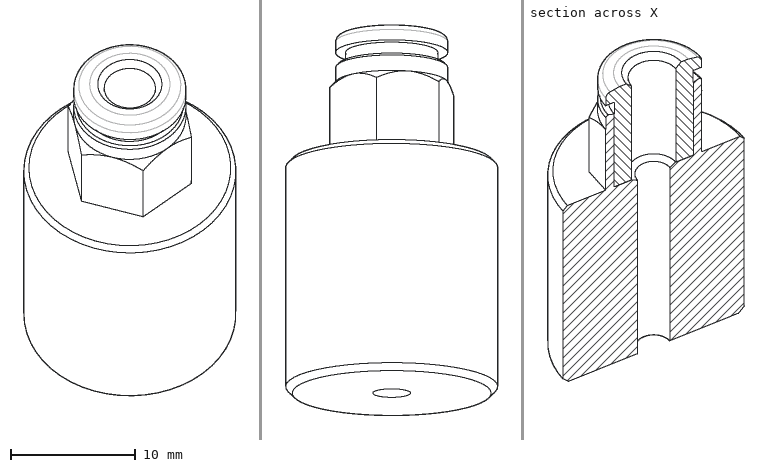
import cadquery as cq
import math

TOTAL_HEIGHT = 29.5
BARREL_HEIGHT = 18.97
HEX_TOP = 25.5
COLLAR_TOP = 26.95

BARREL_DIAMETER = 17.0
BARREL_TOP_CHAMFER = 0.4
BARREL_BOTTOM_CHAMFER = 0.53
HEX_ACROSS_FLATS = 9.0
HEX_CORNER_DROP = 0.7
COLLAR_DIAMETER = 9.0
COLLAR_CHAMFER = 0.2
SEAT_COUNTERSINK_DEPTH = 0.18
BORE_CONE_DEPTH = 0.32
THROUGH_BORE_DIAMETER = 3.0

NECK_DIAMETER = 7.4
FLANGE_DIAMETER = COLLAR_DIAMETER
FLANGE_BOTTOM = 28.0
FLANGE_ROUND_START = 28.85
FLANGE_CROWN_DIAMETER = 8.17
FLANGE_CROWN_Z = 29.32
FLANGE_TOP_DIAMETER = 6.43
SLEEVE_BORE_DIAMETER = 4.1
SLEEVE_MOUTH_DIAMETER = 5.13
MOUTH_DEPTH = 0.5
SLEEVE_SEAT_Z = BARREL_HEIGHT


def cylinder(diameter, bottom, top):
    """Vertical cylinder on the part axis between two heights."""
    return cq.Workplane("XY").workplane(offset=bottom).circle(diameter / 2).extrude(top - bottom)


def make_barrel():
    barrel = cylinder(BARREL_DIAMETER, 0, BARREL_HEIGHT)
    barrel = barrel.faces(">Z").chamfer(BARREL_TOP_CHAMFER)
    return barrel.faces("<Z").chamfer(BARREL_BOTTOM_CHAMFER)


def make_hexagon():
    """Hexagon with corners on the X axis, its top corners cut back by a cone."""
    corner_radius = HEX_ACROSS_FLATS / math.sqrt(3)
    top_radius = HEX_ACROSS_FLATS / 2
    prism = (
        cq.Workplane("XY")
        .workplane(offset=BARREL_HEIGHT)
        .polygon(6, 2 * corner_radius)
        .extrude(HEX_TOP - BARREL_HEIGHT)
    )
    cone_envelope = (
        cq.Workplane("XZ")
        .moveTo(0, BARREL_HEIGHT)
        .lineTo(corner_radius, BARREL_HEIGHT)
        .lineTo(corner_radius, HEX_TOP - HEX_CORNER_DROP)
        .lineTo(top_radius, HEX_TOP)
        .lineTo(0, HEX_TOP)
        .close()
        .revolve(360, (0, 0, 0), (0, 1, 0))
    )
    return prism.intersect(cone_envelope)


def cone(bottom_diameter, bottom, top_diameter, top):
    """Truncated cone on the part axis between two heights."""
    solid = cq.Solid.makeCone(bottom_diameter / 2, top_diameter / 2, top - bottom, cq.Vector(0, 0, bottom))
    return cq.Workplane("XY").newObject([solid])


def make_passage():
    """Sleeve seat with a dished mouth, tapering at its floor into the through bore."""
    sleeve_seat = cylinder(NECK_DIAMETER, SLEEVE_SEAT_Z, COLLAR_TOP)
    countersink = cone(
        NECK_DIAMETER, COLLAR_TOP - SEAT_COUNTERSINK_DEPTH, COLLAR_DIAMETER - 2 * COLLAR_CHAMFER, COLLAR_TOP
    )
    bore_cone = cone(
        THROUGH_BORE_DIAMETER, SLEEVE_SEAT_Z - BORE_CONE_DEPTH, SLEEVE_BORE_DIAMETER, SLEEVE_SEAT_Z
    )
    through_bore = cylinder(THROUGH_BORE_DIAMETER, 0, SLEEVE_SEAT_Z)
    return sleeve_seat.union(countersink).union(bore_cone).union(through_bore)


def make_housing():
    collar = cylinder(COLLAR_DIAMETER, HEX_TOP, COLLAR_TOP).faces(">Z").chamfer(COLLAR_CHAMFER)
    housing = make_barrel().union(make_hexagon()).union(collar)
    return housing.cut(make_passage())


def make_release_sleeve():
    """Tube with a crowned, rounded flange and a countersunk mouth."""
    flange_radius = FLANGE_DIAMETER / 2
    crown_radius = FLANGE_CROWN_DIAMETER / 2
    neck_radius = NECK_DIAMETER / 2
    bore_radius = SLEEVE_BORE_DIAMETER / 2
    return (
        cq.Workplane("XZ")
        .moveTo(bore_radius, SLEEVE_SEAT_Z)
        .lineTo(neck_radius, SLEEVE_SEAT_Z)
        .lineTo(neck_radius, FLANGE_BOTTOM)
        .lineTo(flange_radius, FLANGE_BOTTOM)
        .lineTo(flange_radius, FLANGE_ROUND_START)
        .tangentArcPoint((crown_radius, FLANGE_CROWN_Z), relative=False)
        .lineTo(FLANGE_TOP_DIAMETER / 2, TOTAL_HEIGHT)
        .lineTo(SLEEVE_MOUTH_DIAMETER / 2, TOTAL_HEIGHT)
        .lineTo(bore_radius, TOTAL_HEIGHT - MOUTH_DEPTH)
        .close()
        .revolve(360, (0, 0, 0), (0, 1, 0))
    )


housing = make_housing()
release_sleeve = make_release_sleeve()

result = cq.Compound.makeCompound([housing.val(), release_sleeve.val()])